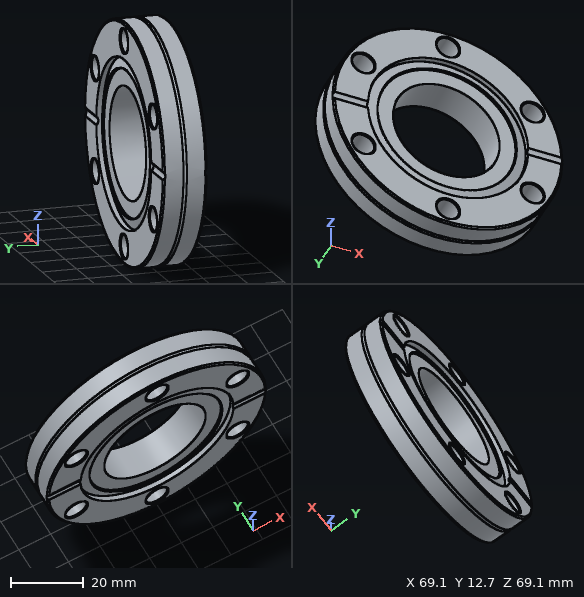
import cadquery as cq
import math

FLANGE_DIAMETER = 69.1
FLANGE_THICKNESS = 12.7
BORE_DIAMETER = 32.0
RIM_CHAMFER = 0.5

RECESS_DIAMETER = 48.2
KNIFE_TIP_DIAMETER = 41.9
INNER_FLOOR_DIAMETER = 41.5
INNER_FLOOR_DEPTH = 1.2
KNIFE_TIP_DEPTH = 0.6
KNIFE_ANGLE = 20.0

BOLT_COUNT = 6
BOLT_HOLE_DIAMETER = 6.7
BOLT_CIRCLE_DIAMETER = 58.75
BOLT_HOLE_CHAMFER = 0.3

RIM_GROOVE_WIDTH = 1.0
RIM_GROOVE_DEPTH = 0.3

LEAK_GROOVE_WIDTH = 2.35
LEAK_GROOVE_DEPTH = 0.6

flange_radius = FLANGE_DIAMETER / 2
half_thickness = FLANGE_THICKNESS / 2
bore_radius = BORE_DIAMETER / 2
recess_radius = RECESS_DIAMETER / 2
knife_tip_radius = KNIFE_TIP_DIAMETER / 2
inner_floor_radius = INNER_FLOOR_DIAMETER / 2
knife_slope_drop = (recess_radius - knife_tip_radius) * math.tan(math.radians(KNIFE_ANGLE))


def revolve_about_y(profile):
    """Revolve a closed (radius, Y) profile drawn on the XY plane around the Y axis."""
    return profile.close().revolve(360, (0, 0, 0), (0, 1, 0))


def flange_body():
    """Solid chamfered disc with the round rim groove."""
    groove_half_width = RIM_GROOVE_WIDTH / 2
    chamfer_radius = flange_radius - RIM_CHAMFER
    chamfer_y = half_thickness - RIM_CHAMFER
    profile = (
        cq.Workplane("XY")
        .moveTo(0, -half_thickness)
        .lineTo(chamfer_radius, -half_thickness)
        .lineTo(flange_radius, -chamfer_y)
        .lineTo(flange_radius, -groove_half_width)
        .threePointArc((flange_radius - RIM_GROOVE_DEPTH, 0), (flange_radius, groove_half_width))
        .lineTo(flange_radius, chamfer_y)
        .lineTo(chamfer_radius, half_thickness)
        .lineTo(0, half_thickness)
    )
    return revolve_about_y(profile)


def bore():
    return cq.Workplane("XZ").circle(bore_radius).extrude(half_thickness, both=True)


def front_leak_groove():
    """Circular-section groove across the -Y face, along the full width in X."""
    half_width = LEAK_GROOVE_WIDTH / 2
    face_y = -half_thickness
    radius = (half_width**2 + LEAK_GROOVE_DEPTH**2) / (2 * LEAK_GROOVE_DEPTH)
    center_y = face_y + LEAK_GROOVE_DEPTH - radius
    return cq.Workplane("YZ").center(center_y, 0).circle(radius).extrude(flange_radius, both=True)


def knife_ring_envelope():
    """Zone inside the recess wall, which the leak grooves do not cut."""
    return cq.Workplane("XZ").circle(recess_radius).extrude(FLANGE_THICKNESS, both=True)


def front_recess():
    """Recess in the -Y face: flat floor, tapered wall up to the knife edge, cone down to the outer wall."""
    face_y = -half_thickness
    profile = (
        cq.Workplane("XY")
        .moveTo(0, face_y)
        .lineTo(recess_radius, face_y)
        .lineTo(recess_radius, face_y + KNIFE_TIP_DEPTH + knife_slope_drop)
        .lineTo(knife_tip_radius, face_y + KNIFE_TIP_DEPTH)
        .lineTo(inner_floor_radius, face_y + INNER_FLOOR_DEPTH)
        .lineTo(0, face_y + INNER_FLOOR_DEPTH)
    )
    return revolve_about_y(profile)


def bolt_hole():
    """Through hole on the Y axis, chamfered at both faces."""
    hole_radius = BOLT_HOLE_DIAMETER / 2
    mouth_radius = hole_radius + BOLT_HOLE_CHAMFER
    chamfer_y = half_thickness - BOLT_HOLE_CHAMFER
    profile = (
        cq.Workplane("XY")
        .moveTo(0, -half_thickness)
        .lineTo(mouth_radius, -half_thickness)
        .lineTo(hole_radius, -chamfer_y)
        .lineTo(hole_radius, chamfer_y)
        .lineTo(mouth_radius, half_thickness)
        .lineTo(0, half_thickness)
    )
    return revolve_about_y(profile)


result = flange_body().cut(bore())

face_cuts = [front_recess(), front_leak_groove().cut(knife_ring_envelope())]
for face_cut in face_cuts:
    result = result.cut(face_cut).cut(face_cut.mirror("XZ"))

first_hole = bolt_hole().translate((0, 0, BOLT_CIRCLE_DIAMETER / 2))
for index in range(BOLT_COUNT):
    result = result.cut(first_hole.rotate((0, 0, 0), (0, 1, 0), index * 360 / BOLT_COUNT))